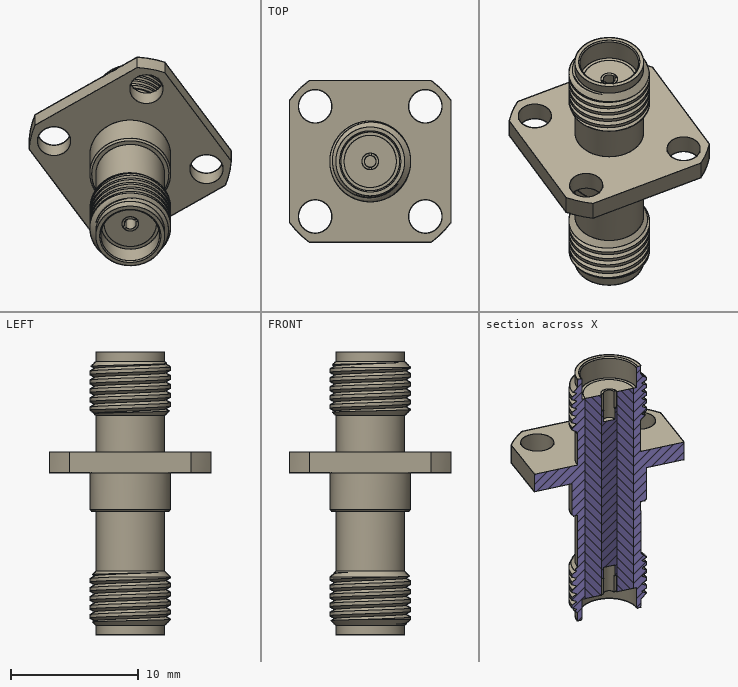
import cadquery as cq
import math


overall_length = 22.2
flange_thickness = 1.65
tip_above_flange = 7.85
top_z = flange_thickness + tip_above_flange
bottom_z = top_z - overall_length

flange_width = 12.7
flange_corner_diameter = 15.9
mount_hole_diameter = 2.6
mount_hole_spacing = 8.64

barrel_radius = 5.4 / 2
collar_radius = 6.35 / 2
collar_length = 3.0
collar_chamfer = 0.15

thread_radius = collar_radius
thread_pitch = 25.4 / 36
thread_depth = 0.38
thread_lead_in = 0.75
thread_end = 5.0
thread_length = thread_end - thread_lead_in
chamfer_clearance = 0.001
thread_end_chamfer = thread_radius - barrel_radius - chamfer_clearance
groove_half_angle = 30
groove_overrun = 0.1
lower_thread_turn = -90

mouth_radius = 4.6 / 2
mouth_depth = 1.9
mouth_chamfer = 0.1
insulator_radius = 4.1 / 2
contact_radius = 1.3 / 2

socket_radius = 0.92 / 2
socket_depth = 2.5
slot_width = 0.22
slot_depth = 1.5

insert_bottom_z = bottom_z + mouth_depth
insert_length = overall_length - 2 * mouth_depth
insert_top_z = insert_bottom_z + insert_length


def cylinder(radius, z_start, length):
    return cq.Workplane("XY").workplane(offset=z_start).circle(radius).extrude(length)


def make_flange():
    square = cq.Workplane("XY").rect(flange_width, flange_width).extrude(flange_thickness)
    corner_round = cylinder(flange_corner_diameter / 2, 0, flange_thickness)
    holes = (
        cq.Workplane("XY")
        .rect(mount_hole_spacing, mount_hole_spacing, forConstruction=True)
        .vertices()
        .circle(mount_hole_diameter / 2)
        .extrude(flange_thickness)
    )
    return square.intersect(corner_round).cut(holes)


def make_threaded_sleeve():
    """Sleeve standing on Z = 0, with chamfered ends and a right-hand V groove running out at both ends."""
    sleeve = cylinder(thread_radius, 0, thread_length).faces("<Z or >Z").chamfer(thread_end_chamfer)

    root_radius = thread_radius - thread_depth
    cutter_radius = thread_radius + groove_overrun
    half_width = (cutter_radius - root_radius) * math.tan(math.radians(groove_half_angle))
    helix = cq.Wire.makeHelix(thread_pitch, thread_pitch, root_radius)
    one_turn = (
        cq.Workplane("XZ")
        .polyline([(root_radius, 0), (cutter_radius, half_width), (cutter_radius, -half_width)])
        .close()
        .sweep(cq.Workplane(obj=helix), isFrenet=True)
    )
    turns_to_top = math.ceil(thread_length / thread_pitch)
    for turn in range(turns_to_top):
        sleeve = sleeve.cut(one_turn.translate((0, 0, turn * thread_pitch)))
    return sleeve


def make_housing():
    barrel = cylinder(barrel_radius, bottom_z, overall_length)
    collar = cylinder(collar_radius, -collar_length, collar_length).faces("<Z").chamfer(collar_chamfer)
    sleeve = make_threaded_sleeve()
    upper_thread = sleeve.translate((0, 0, top_z - thread_end))
    lower_thread = sleeve.rotate((0, 0, 0), (0, 0, 1), lower_thread_turn).translate(
        (0, 0, bottom_z + thread_lead_in)
    )
    body = upper_thread.union(barrel).union(lower_thread).union(collar).union(make_flange())

    half_bore = [
        (0, bottom_z),
        (mouth_radius + mouth_chamfer, bottom_z),
        (mouth_radius, bottom_z + mouth_chamfer),
        (mouth_radius, insert_bottom_z),
        (insulator_radius, insert_bottom_z),
        (insulator_radius, insert_top_z),
        (mouth_radius, insert_top_z),
        (mouth_radius, top_z - mouth_chamfer),
        (mouth_radius + mouth_chamfer, top_z),
        (0, top_z),
    ]
    bore = cq.Workplane("XZ").polyline(half_bore).close().revolve(360, (0, 0, 0), (0, 1, 0))
    return body.cut(bore)


def make_insulator():
    contact_hole = cylinder(contact_radius, insert_bottom_z, insert_length)
    return cylinder(insulator_radius, insert_bottom_z, insert_length).cut(contact_hole)


def make_contact():
    contact = cylinder(contact_radius, insert_bottom_z, insert_length)
    for end_z, inward in ((insert_top_z, -1), (insert_bottom_z, 1)):
        socket = cylinder(socket_radius, end_z, inward * socket_depth)
        slot = (
            cq.Workplane("XY")
            .workplane(offset=end_z)
            .rect(slot_width, 2 * contact_radius)
            .extrude(inward * slot_depth)
        )
        contact = contact.cut(socket).cut(slot)
    return contact


housing = make_housing()
insulator = make_insulator()
contact = make_contact()

result = cq.Compound.makeCompound(
    [*housing.solids().vals(), *insulator.solids().vals(), *contact.solids().vals()]
)